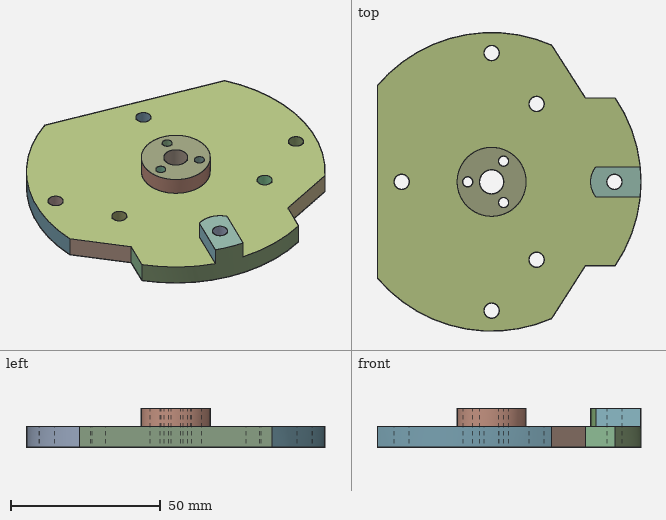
import cadquery as cq
import math

plate_radius = 49.9
plate_thickness = 7.0
flat_x = -38.1
notch_start_x = 20.1
notch_corner_x = 31.3
notch_corner_y = 28.0

raised_height = 6.0
total_height = plate_thickness + raised_height
hub_diameter = 23.0
pad_width = 10.0
pad_end_radius = 8.0

bore_diameter = 8.0
hub_hole_diameter = 3.3
hub_hole_circle_radius = 8.0
mount_hole_diameter = 5.0
mount_hole_circle_radius = 30.0
side_hole_y = 43.0
pad_hole_x = 41.0

circle_hole_count = 3
first_hole_angle = 180


def rim_offset(distance):
    """Other coordinate of the rim point that lies at the given X or Y."""
    return math.sqrt(plate_radius**2 - distance**2)


def hole_circle(radius):
    step = 360 / circle_hole_count
    angles = [math.radians(first_hole_angle + i * step) for i in range(circle_hole_count)]
    return [(radius * math.cos(angle), radius * math.sin(angle)) for angle in angles]


def make_plate():
    flat_end_y = rim_offset(flat_x)
    notch_start_y = rim_offset(notch_start_x)
    notch_end_x = rim_offset(notch_corner_y)
    return (
        cq.Workplane("XY")
        .moveTo(flat_x, -flat_end_y)
        .threePointArc((0, -plate_radius), (notch_start_x, -notch_start_y))
        .lineTo(notch_corner_x, -notch_corner_y)
        .lineTo(notch_end_x, -notch_corner_y)
        .threePointArc((plate_radius, 0), (notch_end_x, notch_corner_y))
        .lineTo(notch_corner_x, notch_corner_y)
        .lineTo(notch_start_x, notch_start_y)
        .threePointArc((0, plate_radius), (flat_x, flat_end_y))
        .close()
        .extrude(plate_thickness)
    )


def make_hub():
    return cq.Workplane("XY").circle(hub_diameter / 2).extrude(total_height)


def make_pad():
    """Pad that ends flush with the rim and has an inner end concentric with its hole."""
    half_width = pad_width / 2
    outer_x = rim_offset(half_width)
    inner_x = pad_hole_x - math.sqrt(pad_end_radius**2 - half_width**2)
    return (
        cq.Workplane("XY")
        .moveTo(inner_x, -half_width)
        .lineTo(outer_x, -half_width)
        .threePointArc((plate_radius, 0), (outer_x, half_width))
        .lineTo(inner_x, half_width)
        .threePointArc((pad_hole_x - pad_end_radius, 0), (inner_x, -half_width))
        .close()
        .extrude(total_height)
    )


def make_holes(points, diameter):
    return cq.Workplane("XY").pushPoints(points).circle(diameter / 2).extrude(total_height)


mount_hole_points = hole_circle(mount_hole_circle_radius) + [
    (0, side_hole_y),
    (0, -side_hole_y),
    (pad_hole_x, 0),
]

result = (
    make_plate()
    .union(make_hub())
    .union(make_pad())
    .cut(make_holes([(0, 0)], bore_diameter))
    .cut(make_holes(hole_circle(hub_hole_circle_radius), hub_hole_diameter))
    .cut(make_holes(mount_hole_points, mount_hole_diameter))
)